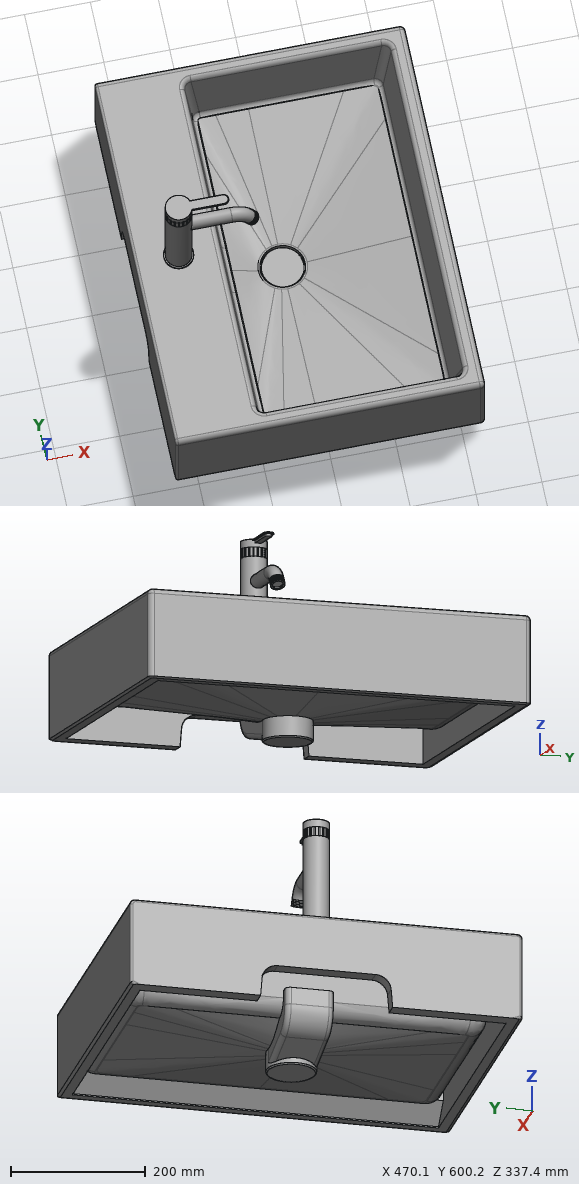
import cadquery as cq
import math

length_x = 470.14
width_y = 600.19
basin_height = 136.0
side_edge_radius = 8.0
back_edge_radius = 4.0
bottom_edge_height = 5.0
bottom_edge_inset = 2.0

rim_back_x = 129.0
rim_front_x = 444.0
rim_half_y = 276.0
floor_back_x = 139.5
floor_front_x = 426.5
floor_half_y = 258.0
floor_edge_z = 43.5
bowl_corner_radius = 12.0
bowl_floor_radius = 8.0
rim_radius = 8.0

drain_x = 224.0
drain_z = 21.5
drain_mouth_radius = 37.0
funnel_margin = 5.5
funnel_back_x = floor_back_x + funnel_margin
funnel_front_x = floor_front_x - funnel_margin
funnel_half_y = floor_half_y - funnel_margin
corner_patch_back_x = 174.0
corner_patch_front_x = 369.0
corner_patch_y = 196.0
funnel_mouth_angles = (0, 42, 60, 90, 104, 120, 180)

back_wall = 23.0
outer_wall = 20.0
deck_thickness = 20.0
shell_thickness = 17.0
deck_underside_z = basin_height - deck_thickness
front_wall_foot_z = 2.0
front_wall_slope_x = 420.0
front_wall_slope_z = 32.0

access_width = 202.0
access_top_width = 194.0
access_height = 50.0
access_radius = 24.0

socket_diameter = 76.0
socket_chamfer = 2.0
socket_bottom_z = -27.45
channel_width = 74.0
channel_back_x = 104.0
channel_bend_radius = 41.5
channel_bend_z = 34.0
channel_fall_angle = 12.7
channel_edge_radius = 8.0

seat_diameter = 68.0
seat_depth = 8.0
cover_diameter = 64.0
cover_thickness = 5.0

tap_x = 66.0
tap_top_z = 310.0
tap_diameter = 40.0
base_diameter = 45.0
base_thickness = 2.5
grip_bottom_z = 284.0
grip_top_z = 298.0
flute_count = 18
flute_width = 2.0
flute_depth = 1.5
lever_length = 76.0
lever_width = 16.0
lever_thickness = 2.5
lever_edge_chamfer = 1.0
lever_rib_width = 10.0
lever_rib_depth = 3.5
lever_rib_setback = 3.0

spout_diameter = 22.0
spout_z = 246.5
spout_bend_start_x = 145.5
spout_bend_radius = 31.0
spout_bend_angle = 60.0
bend = math.radians(spout_bend_angle)
spout_end_x = spout_bend_start_x + spout_bend_radius * math.sin(bend)
spout_end_z = spout_z - spout_bend_radius * (1 - math.cos(bend))
aerator_length = 11.0
aerator_groove_count = 2
aerator_groove_depth = 0.75
aerator_bore = 16.5
aerator_bore_depth = 3.0

pick_margin = 1.0


def rect_wire(back_x, front_x, half_y, z):
    corners = [(back_x, -half_y, z), (front_x, -half_y, z), (front_x, half_y, z), (back_x, half_y, z)]
    return cq.Wire.makePolygon([cq.Vector(*p) for p in corners], close=True)


def bowl_walls(offset):
    """Tapered bowl volume above the floor edge, grown outwards by the offset."""
    top = rect_wire(rim_back_x - offset, rim_front_x + offset, rim_half_y + offset, basin_height)
    bottom = rect_wire(floor_back_x - offset, floor_front_x + offset, floor_half_y + offset,
                       floor_edge_z - offset)
    walls = cq.Workplane(obj=cq.Solid.makeLoft([bottom, top], True))
    walls = walls.edges("not(#Z)").edges("not(|X or |Y)").fillet(bowl_corner_radius + offset)
    return walls.faces("<Z").edges().fillet(bowl_floor_radius + offset)


def funnel(offset):
    """Ruled funnel from the rectangular floor edge to the round drain mouth."""
    edge_points = [
        (funnel_front_x, 0), (funnel_front_x, corner_patch_y),
        (corner_patch_front_x, funnel_half_y), (drain_x, funnel_half_y), (corner_patch_back_x, funnel_half_y),
        (funnel_back_x, corner_patch_y), (funnel_back_x, 0),
    ]
    mouth_angles = list(funnel_mouth_angles)
    edge_points += [(x, -y) for x, y in edge_points[-2:0:-1]]
    mouth_angles += [360 - a for a in mouth_angles[-2:0:-1]]
    corner_edges = (1, 4, 7, 10)
    count = len(edge_points)
    z_edge = floor_edge_z - offset
    z_drain = drain_z - offset

    def mouth_point(angle):
        a = math.radians(angle)
        x = drain_x + drain_mouth_radius * math.cos(a)
        return cq.Vector(x, drain_mouth_radius * math.sin(a), z_drain)

    outer = []
    inner = []
    for i in range(count):
        start = cq.Vector(*edge_points[i], z_edge)
        end = cq.Vector(*edge_points[(i + 1) % count], z_edge)
        if i in corner_edges:
            corner_x = funnel_front_x if start.x > drain_x else funnel_back_x
            corner = cq.Vector(corner_x, math.copysign(funnel_half_y, start.y), z_edge)
            outer.append(cq.Edge.makeBezier([start, corner, corner, corner, end]))
        else:
            outer.append(cq.Edge.makeLine(start, end))
        a0 = mouth_angles[i]
        a1 = mouth_angles[(i + 1) % count] or 360
        inner.append(cq.Edge.makeThreePointArc(mouth_point(a0), mouth_point((a0 + a1) / 2), mouth_point(a1)))
    wires = [cq.Wire.assembleEdges(inner), cq.Wire.assembleEdges(outer)]
    return cq.Workplane(obj=cq.Solid.makeLoft(wires, True))


def cylinder(x, z, diameter, height):
    return cq.Workplane("XY", origin=(x, 0, z)).circle(diameter / 2).extrude(height)


def underside_hollow():
    """Open space below the deck, bounded by the outer walls and the bowl shell."""
    front_x = length_x - outer_wall
    hollow = (cq.Workplane("XZ")
              .polyline([(back_wall, 0), (front_x, 0), (front_x, front_wall_foot_z),
                         (front_wall_slope_x, front_wall_slope_z), (front_wall_slope_x, deck_underside_z),
                         (back_wall, deck_underside_z)])
              .close().extrude(width_y / 2 - outer_wall, both=True))
    return hollow.cut(bowl_walls(shell_thickness)).cut(funnel(shell_thickness))


def access_opening():
    return (cq.Workplane("YZ")
            .polyline([(-access_width / 2, 0), (access_width / 2, 0),
                       (access_top_width / 2, access_height), (-access_top_width / 2, access_height)])
            .close().extrude(back_wall)
            .edges("|X and >Z").fillet(access_radius))


def overflow_channel():
    """Channel down the back of the bowl that bends and falls towards the drain socket."""
    fall = math.radians(channel_fall_angle)
    bend_center_x = channel_back_x + channel_bend_radius

    def bend_point(angle):
        return (bend_center_x - channel_bend_radius * math.cos(angle),
                channel_bend_z - channel_bend_radius * math.sin(angle))

    bend_angle = math.pi / 2 - fall
    bend_end = bend_point(bend_angle)
    low_z = bend_end[1] - (drain_x - bend_end[0]) * math.tan(fall)
    top_z = floor_edge_z + shell_thickness
    channel = (cq.Workplane("XZ", origin=(0, channel_width / 2, 0))
               .moveTo(channel_back_x, top_z)
               .lineTo(channel_back_x, channel_bend_z)
               .threePointArc(bend_point(bend_angle / 2), bend_end)
               .lineTo(drain_x, low_z)
               .lineTo(drain_x, top_z)
               .close().extrude(channel_width))
    outer_edges = cq.selectors.BoxSelector((channel_back_x - pick_margin, -width_y, low_z - pick_margin),
                                           (drain_x - pick_margin, width_y, top_z - pick_margin))
    return channel.edges("not(|Y)").edges(outer_edges).fillet(channel_edge_radius)


def make_basin():
    block = cq.Workplane("XY").box(length_x, width_y, basin_height, centered=(False, True, False))
    block = block.edges("|Z and >X").fillet(side_edge_radius)
    block = block.faces(">Z").edges("not(<X)").fillet(side_edge_radius)
    block = block.faces("<Z").edges("not(<X)").chamfer(bottom_edge_height, bottom_edge_inset)
    block = block.faces("<X").edges("not(<Z)").fillet(back_edge_radius)
    basin = block.cut(bowl_walls(0))
    rim = cq.selectors.BoxSelector(
        (rim_back_x - pick_margin, -rim_half_y - pick_margin, basin_height - pick_margin),
        (rim_front_x + pick_margin, rim_half_y + pick_margin, basin_height + pick_margin))
    basin = basin.edges(rim).fillet(rim_radius)
    basin = basin.cut(underside_hollow()).cut(access_opening())
    socket = cylinder(drain_x, socket_bottom_z, socket_diameter, drain_z - socket_bottom_z)
    socket = socket.faces("<Z").edges().chamfer(socket_chamfer)
    basin = basin.union(overflow_channel().cut(bowl_walls(0))).union(socket)
    seat = cylinder(drain_x, drain_z - seat_depth, seat_diameter, seat_depth)
    return basin.cut(funnel(0)).cut(seat)


def make_drain_cover():
    return cylinder(drain_x, drain_z - seat_depth, cover_diameter, cover_thickness)


def make_base_ring():
    return cylinder(tap_x, basin_height, base_diameter, base_thickness)


def make_column():
    column_z = basin_height + base_thickness
    return cylinder(tap_x, column_z, tap_diameter, grip_bottom_z - column_z)


def make_grip_ring():
    """Ring with flutes evenly spaced around its outside."""
    height = grip_top_z - grip_bottom_z
    ring = cylinder(tap_x, grip_bottom_z, tap_diameter, height)
    flutes = (cq.Workplane("XY", origin=(tap_x, 0, grip_bottom_z))
              .polarArray(tap_diameter / 2, 0, 360, flute_count)
              .rect(2 * flute_depth, flute_width).extrude(height))
    return ring.cut(flutes)


def lever_bar(length, width, z, thickness):
    """Flat bar from the tap axis to a rounded tip."""
    straight = length - width / 2
    return (cq.Workplane("XY", origin=(tap_x, 0, z))
            .moveTo(0, -width / 2).lineTo(straight, -width / 2)
            .threePointArc((length, 0), (straight, width / 2))
            .lineTo(0, width / 2).close().extrude(thickness))


def make_handle():
    """Round cap with a flat lever and a rib under the lever."""
    lever_z = tap_top_z - lever_thickness
    cap = cylinder(tap_x, grip_top_z, tap_diameter, tap_top_z - grip_top_z)
    lever = lever_bar(lever_length, lever_width, lever_z, lever_thickness)
    lever = lever.faces(">Z").edges().chamfer(lever_edge_chamfer)
    rib = lever_bar(lever_length - lever_rib_setback, lever_rib_width,
                    lever_z - lever_rib_depth, lever_rib_depth)
    return cap.union(lever).union(rib)


def make_spout():
    """Tube that leaves the column level and bends down, its end shaped to the column."""
    half = bend / 2
    path = (cq.Workplane("XZ").moveTo(tap_x, spout_z).lineTo(spout_bend_start_x, spout_z)
            .threePointArc((spout_bend_start_x + spout_bend_radius * math.sin(half),
                            spout_z - spout_bend_radius * (1 - math.cos(half))),
                           (spout_end_x, spout_end_z)))
    tube = cq.Workplane("YZ", origin=(tap_x, 0, spout_z)).circle(spout_diameter / 2).sweep(path)
    return tube.cut(make_column())


def make_aerator():
    """Nozzle with two shallow grooves and a bored outlet."""
    flow = (math.cos(bend), 0, -math.sin(bend))
    plane = cq.Plane(origin=(spout_end_x, 0, spout_end_z), xDir=(0, 1, 0), normal=flow)
    nozzle = cq.Workplane(plane).circle(spout_diameter / 2).extrude(aerator_length)
    pitch = aerator_length / (2 * aerator_groove_count + 1)
    for index in range(aerator_groove_count):
        groove = (cq.Workplane(plane).workplane(offset=(2 * index + 1) * pitch)
                  .circle(spout_diameter / 2).circle(spout_diameter / 2 - aerator_groove_depth)
                  .extrude(pitch))
        nozzle = nozzle.cut(groove)
    outlet = (cq.Workplane(plane).workplane(offset=aerator_length - aerator_bore_depth)
              .circle(aerator_bore / 2).extrude(aerator_bore_depth))
    return nozzle.cut(outlet)


basin = make_basin()
drain_cover = make_drain_cover()
base_ring = make_base_ring()
column = make_column()
grip_ring = make_grip_ring()
handle = make_handle()
spout = make_spout()
aerator = make_aerator()

bodies = [basin, drain_cover, base_ring, column, grip_ring, handle, spout, aerator]
result = cq.Compound.makeCompound([body.val() for body in bodies])